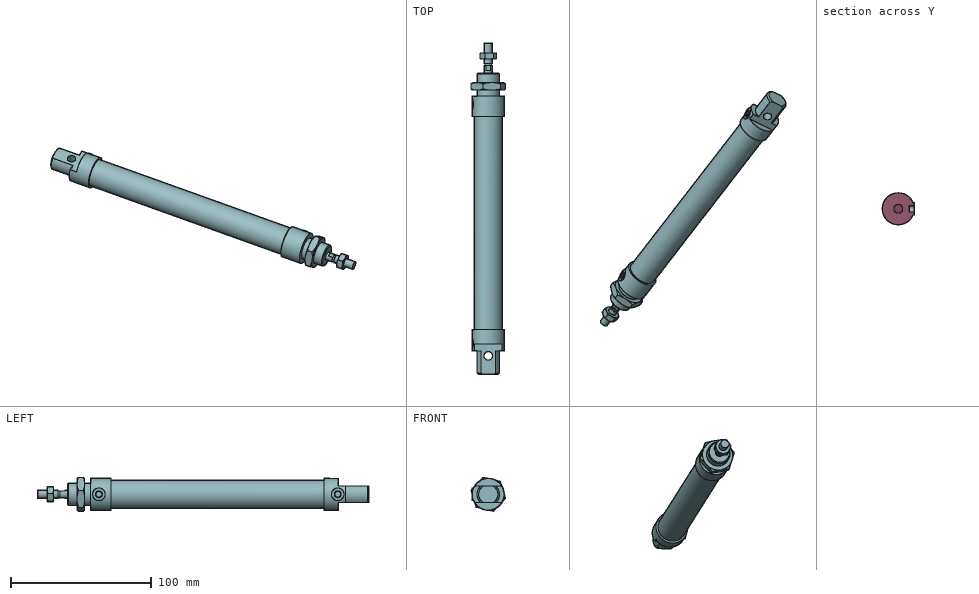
import cadquery as cq
import math


TOTAL_LENGTH = 236.0
TONGUE_START = 16.8
FLAT_LENGTH = 21.7
REAR_CAP_FRONT = 31.9
FRONT_CAP_REAR = 183.5
FRONT_CAP_FACE = 198.2
NOSE_FACE = 214.8

TUBE_DIAMETER = 20.0
CAP_DIAMETER = 23.0
NOSE_DIAMETER = 16.0
NOSE_CHAMFER = 0.7
TONGUE_CHAMFER_DEPTH = 1.2
TONGUE_CHAMFER_LENGTH = 1.0
TONGUE_THICKNESS = 12.0
PIVOT_DIAMETER = 6.0
PIVOT_Y = 13.2

PORT_STATIONS = (22.2, 192.3)
PORT_BOSS_DIAMETER = 9.0
PORT_FACE_X = -CAP_DIAMETER / 2
PORT_DIAMETER = 5.0
PORT_CORE_DIAMETER = 4.2
PORT_LEAD_IN = (PORT_DIAMETER - PORT_CORE_DIAMETER) / 2
PORT_DEPTH = 3.5

ROD_DIAMETER = 6.0
ROD_THREAD_LENGTH = 14.6
ROD_GROOVE_DIAMETER = 5.0
ROD_GROOVE_WIDTH = 1.5
ROD_FLAT_WIDTH = 5.0
ROD_FLAT_LENGTH = 3.3
ROD_END = FRONT_CAP_REAR

MOUNTING_NUT_FLATS = 22.0
MOUNTING_NUT_HEIGHT = 5.5
MOUNTING_NUT_Y = 202.5
MOUNTING_NUT_ANGLE = -13.0
ROD_NUT_FLATS = 10.5
ROD_NUT_HEIGHT = 4.5
ROD_NUT_Y = 224.7
ROD_NUT_ANGLE = -7.0
NUT_CHAMFER_ANGLE = 30.0


def cylinder(diameter, start, end):
    """Round bar along Y between two stations."""
    return cq.Workplane("XZ", origin=(0, end, 0)).circle(diameter / 2).extrude(end - start)


def flats_cutter(thickness, start, end):
    """Material above and below a flat band centred on the axis."""
    length = end - start
    middle = (start + end) / 2
    block = cq.Workplane("XY").box(2 * CAP_DIAMETER, length, 2 * CAP_DIAMETER)
    band = cq.Workplane("XY").box(2 * CAP_DIAMETER, length, thickness)
    return block.cut(band).translate((0, middle, 0))


def make_port_boss(y):
    """Round boss on the -X side whose flat face is tangent to the cap."""
    face = cq.Workplane("YZ", origin=(PORT_FACE_X, y, 0))
    return face.circle(PORT_BOSS_DIAMETER / 2).extrude(PORT_DEPTH)


def make_port_hole(y):
    """Blind port bored from the boss face, with a chamfered lead-in."""
    face = cq.Workplane("YZ", origin=(PORT_FACE_X, y, 0))
    core = face.circle(PORT_CORE_DIAMETER / 2).extrude(PORT_DEPTH)
    lead_in = cq.Workplane(cq.Solid.makeCone(
        PORT_DIAMETER / 2, PORT_CORE_DIAMETER / 2, PORT_LEAD_IN,
        cq.Vector(PORT_FACE_X, y, 0), cq.Vector(1, 0, 0),
    ))
    return core.union(lead_in)


def make_housing():
    """Tube, both end caps, threaded nose and flattened clevis tongue."""
    nose_radius = NOSE_DIAMETER / 2
    cap_radius = CAP_DIAMETER / 2
    tube_radius = TUBE_DIAMETER / 2
    profile = [
        (0, 0),
        (nose_radius - TONGUE_CHAMFER_DEPTH, 0),
        (nose_radius, TONGUE_CHAMFER_LENGTH),
        (nose_radius, TONGUE_START),
        (cap_radius, TONGUE_START),
        (cap_radius, REAR_CAP_FRONT),
        (tube_radius, REAR_CAP_FRONT),
        (tube_radius, FRONT_CAP_REAR),
        (cap_radius, FRONT_CAP_REAR),
        (cap_radius, FRONT_CAP_FACE),
        (nose_radius, FRONT_CAP_FACE),
        (nose_radius, NOSE_FACE - NOSE_CHAMFER),
        (nose_radius - NOSE_CHAMFER, NOSE_FACE),
        (0, NOSE_FACE),
    ]
    body = cq.Workplane("XY").polyline(profile).close().revolve(360, (0, 0), (0, 1))
    body = body.cut(flats_cutter(TONGUE_THICKNESS, 0, FLAT_LENGTH))
    pivot = cq.Workplane("XY", origin=(0, PIVOT_Y, 0)).circle(PIVOT_DIAMETER / 2)
    body = body.cut(pivot.extrude(CAP_DIAMETER, both=True))
    for y in PORT_STATIONS:
        body = body.union(make_port_boss(y)).cut(make_port_hole(y))
    return body.cut(cylinder(ROD_DIAMETER, ROD_END, NOSE_FACE))


def make_rod():
    """Piston rod with a thread-relief groove and two wrench flats."""
    groove_front = TOTAL_LENGTH - ROD_THREAD_LENGTH
    groove_rear = groove_front - ROD_GROOVE_WIDTH
    rod = cylinder(ROD_DIAMETER, ROD_END, groove_rear)
    rod = rod.cut(flats_cutter(ROD_FLAT_WIDTH, groove_rear - ROD_FLAT_LENGTH, groove_rear))
    rod = rod.union(cylinder(ROD_GROOVE_DIAMETER, groove_rear, groove_front))
    return rod.union(cylinder(ROD_DIAMETER, groove_front, TOTAL_LENGTH))


def make_nut(flats, height, bore, start, angle):
    """Hexagon nut along Y with both faces chamfered down to the flats."""
    flat_radius = flats / 2
    corner_radius = flat_radius / math.cos(math.pi / 6)
    chamfer = (corner_radius - flat_radius) * math.tan(math.radians(NUT_CHAMFER_ANGLE))
    end = start + height
    hexagon = (
        cq.Workplane("XZ", origin=(0, end, 0))
        .polygon(6, 2 * corner_radius)
        .extrude(height)
        .rotate((0, 0, 0), (0, 1, 0), -angle)
    )
    envelope = [
        (0, start),
        (flat_radius, start),
        (corner_radius, start + chamfer),
        (corner_radius, end - chamfer),
        (flat_radius, end),
        (0, end),
    ]
    turned = cq.Workplane("XY").polyline(envelope).close().revolve(360, (0, 0), (0, 1))
    return hexagon.intersect(turned).cut(cylinder(bore, start, end))


housing = make_housing()
rod = make_rod()
mounting_nut = make_nut(
    MOUNTING_NUT_FLATS, MOUNTING_NUT_HEIGHT, NOSE_DIAMETER, MOUNTING_NUT_Y, MOUNTING_NUT_ANGLE
)
rod_nut = make_nut(ROD_NUT_FLATS, ROD_NUT_HEIGHT, ROD_DIAMETER, ROD_NUT_Y, ROD_NUT_ANGLE)

result = cq.Compound.makeCompound([housing.val(), rod.val(), mounting_nut.val(), rod_nut.val()])